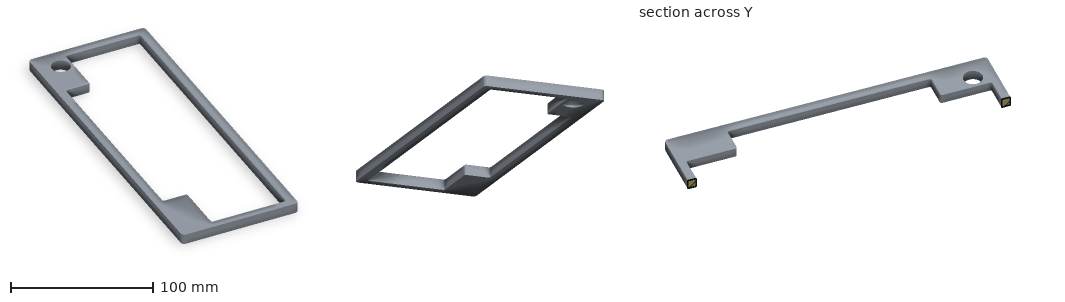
import cadquery as cq

length = 243.8
width = 91.5
thickness = 7.8
outer_radius = 2.7

side_rail = 6.5
end_rail = 7.0
tab_length = 45.0
tab_top = 26.0
corner_diameter = 2.7
corner_radius = corner_diameter / 2
rim_chamfer = 0.5

hole_diameter = 14.1
hole_from_left = 17.0
hole_from_bottom = 17.0

left = -length / 2
bottom = -width / 2


def make_plate():
    """Flat plate with rounded vertical corners."""
    plate = cq.Workplane("XY").box(length, width, thickness, centered=(True, True, False))
    return plate.edges("|Z").fillet(outer_radius)


def make_window():
    """Solid filling the window."""
    window_x = length / 2 - side_rail
    window_top = width / 2 - end_rail
    window_bottom = bottom + end_rail
    tab_x = length / 2 - tab_length
    tab_y = bottom + tab_top
    window = (
        cq.Workplane("XY")
        .moveTo(-window_x, tab_y)
        .lineTo(-tab_x, tab_y)
        .lineTo(-tab_x, window_bottom)
        .lineTo(tab_x, window_bottom)
        .lineTo(tab_x, tab_y)
        .lineTo(window_x, tab_y)
        .lineTo(window_x, window_top)
        .lineTo(-window_x, window_top)
        .close()
        .extrude(thickness)
    )
    return window.edges("|Z").fillet(corner_radius)


def make_hole():
    """Through hole in the left tab."""
    center = (left + hole_from_left, bottom + hole_from_bottom)
    return cq.Workplane("XY").center(*center).circle(hole_diameter / 2).extrude(thickness)


frame = make_plate().cut(make_window())
rim_edges = frame.faces(">Z").val().innerWires()[0].Edges()
frame = frame.newObject(rim_edges).chamfer(rim_chamfer)
result = frame.cut(make_hole())